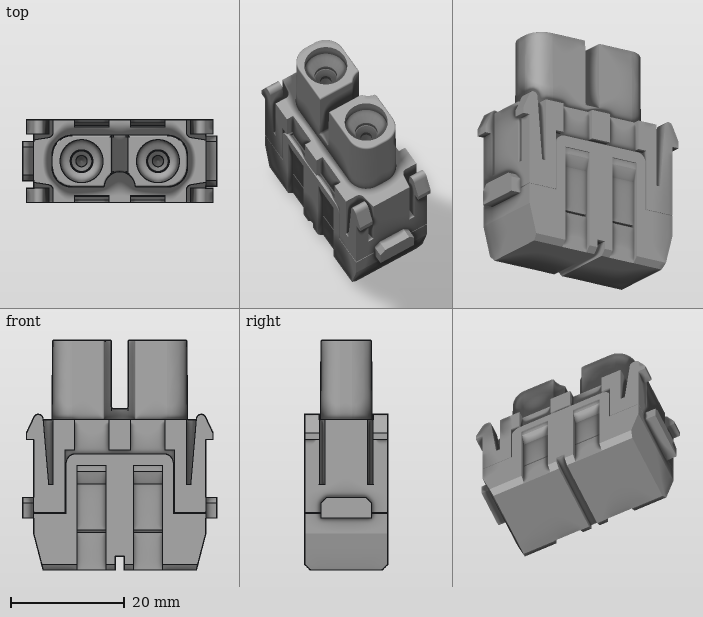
import cadquery as cq
import math

BODY_HALF_X = 15.15
BODY_HALF_Y = 14.63 / 2
BODY_TOP = 26.5
FOOT_HALF_X = 13.5
FOOT_TAPER_TOP = 6.4
FOOT_CHAMFER = 1.0
FOOT_NOTCH_WIDTH = 1.6
FOOT_NOTCH_TOP = 2.45

SEAM_Z = 10.0
SEAM_GAP = 0.15
SEAM_DEPTH = 0.1

PANEL_HALF_X = 9.45
PANEL_TOP = 20.5
PANEL_CORNER = 1.7
PANEL_LIP = 0.45
RECESS_DEPTH = 1.3
LANDING_DEPTH = 0.25
RECESS_HALF_X = PANEL_HALF_X + SEAM_GAP
RECESS_STEP_Z = 21.15
RECESS_TOP_HALF_X = 7.95
TAB_HALF_X = 1.9

WINDOW_WIDTH = 5.1
WINDOW_SPACING = 10.0
WINDOW_X = WINDOW_SPACING / 2
WINDOW_TOP = 18.48
WINDOW_DEPTH = 1.05
HOOK_DEPTH = 0.25
HOOK_FLAT_BOTTOM = 17.35
HOOK_SLOPE_BOTTOM = 15.2
GROOVE_TOP = 7.05
GROOVE_BOTTOM = 6.6
GROOVE_DEPTH = 0.8

SLIT_BOTTOM = 15.07
SLIT_X = 11.7
SLIT_Y = 3.73
SLIT_BEND = (12.6, 4.15)
SLIT_BEND_END_Y = 4.95
CLIP_INNER_Y = 4.75
CLIP_ROOT_X = 12.5
CLIP_FOOT_X = 12.6
CLIP_FOOT_TOP = 16.13
CLIP_HOOK_X = 16.45
CLIP_HOOK_BOTTOM = 23.0
CLIP_HOOK_TOP = 24.15
CLIP_TIP_X = 14.35
CLIP_TIP_RADIUS = 0.85
CLIP_SLOPE_ANGLE = 25
CLIP_TOP = 27.47

PIN_END_X = 17.1
PIN_BOTTOM = 9.15
PIN_TOP = 12.85
PIN_CHAMFER = 1.0
LEFT_PIN_HALF_Y = 3.5
RIGHT_PIN_HALF_Y = 4.45

TOWER_TOP = 40.5
TOWER_HALF_X = 11.95
TOWER_HALF_Y = 4.58
TOWER_CORNER = 3.55
TOWER_DRAFT = 0.5
TOWER_RIM = 0.3
SLOT_WIDTH = 2.9
SLOT_FLOOR = 28.45
SLOT_FLOOR_FILLET = 0.35
KEY_RADIUS = 2.7
KEY_MOUTH_FILLET = 0.32

BORE_X = 6.73
BORE_DIAMETER = 7.58
BORE_DEPTH = 2.3
FUNNEL_DEPTH = 1.45
THROAT_DIAMETER = 4.0
THROAT_DEPTH = 0.8
CONTACT_MOUTH_DIAMETER = 3.65
CONTACT_HOLE_DIAMETER = 2.0
CONTACT_HOLE_DEPTH = 0.8


def box(x0, x1, y0, y1, z0, z1):
    """Box between two opposite corners."""
    return cq.Workplane("XY").box(x1 - x0, y1 - y0, z1 - z0, centered=False).translate((x0, y0, z0))


def both_faces(front):
    """A solid on the -Y face together with its half-turn copy on the +Y face."""
    return front.union(front.rotate((0, 0, 0), (0, 0, 1), 180))


def four_corners(corner):
    """A solid at the +X +Y corner together with its mirror images."""
    pair = corner.union(corner.mirror("YZ"))
    return pair.union(pair.mirror("XZ"))


def make_body():
    outline = [
        (-FOOT_HALF_X, 0),
        (FOOT_HALF_X, 0),
        (BODY_HALF_X, FOOT_TAPER_TOP),
        (BODY_HALF_X, BODY_TOP),
        (-BODY_HALF_X, BODY_TOP),
        (-BODY_HALF_X, FOOT_TAPER_TOP),
    ]
    body = cq.Workplane("XZ").polyline(outline).close().extrude(BODY_HALF_Y, both=True)
    body = body.faces("<Z").edges("|X").chamfer(FOOT_CHAMFER)
    half = FOOT_NOTCH_WIDTH / 2
    return body.cut(box(-half, half, -BODY_HALF_Y, BODY_HALF_Y, 0, FOOT_NOTCH_TOP))


def make_seam():
    """Shallow groove around both narrow ends, ending at the sides of the panel."""
    top = SEAM_Z + SEAM_GAP
    inner_x = BODY_HALF_X - SEAM_DEPTH
    inner_y = BODY_HALF_Y - SEAM_DEPTH
    end = box(PANEL_HALF_X, BODY_HALF_X, -BODY_HALF_Y, BODY_HALF_Y, SEAM_Z, top)
    end = end.cut(box(PANEL_HALF_X, inner_x, -inner_y, inner_y, SEAM_Z, top))
    return end.union(end.mirror("YZ"))


def make_front_recess():
    """Space around and above the panel on the -Y face."""
    face_y = -BODY_HALF_Y
    back_y = face_y + RECESS_DEPTH
    recess = box(-RECESS_HALF_X, RECESS_HALF_X, face_y, back_y, SEAM_Z, RECESS_STEP_Z)
    recess = recess.union(
        box(-RECESS_TOP_HALF_X, RECESS_TOP_HALF_X, face_y, back_y, RECESS_STEP_Z, BODY_TOP)
    )
    recess = recess.cut(box(-TAB_HALF_X, TAB_HALF_X, face_y, back_y, RECESS_STEP_Z, BODY_TOP))

    panel = box(-PANEL_HALF_X, PANEL_HALF_X, face_y, back_y, SEAM_Z, PANEL_TOP)
    panel = panel.edges("|Y and >Z").fillet(PANEL_CORNER)
    landing_y = back_y - LANDING_DEPTH
    landing_z = PANEL_TOP - (RECESS_DEPTH - PANEL_LIP - LANDING_DEPTH)
    lead_in = (
        cq.Workplane("YZ")
        .polyline([
            (face_y + PANEL_LIP, PANEL_TOP),
            (back_y, PANEL_TOP),
            (back_y, landing_z),
            (landing_y, landing_z),
        ])
        .close()
        .extrude(RECESS_TOP_HALF_X, both=True)
    )
    return recess.cut(panel.cut(lead_in))


def make_front_windows():
    """Window pockets on the -Y face, each leaving a sloped latch hook at its top."""
    face_y = -BODY_HALF_Y
    back_y = face_y + WINDOW_DEPTH
    hook_y = face_y + HOOK_DEPTH
    groove_y = back_y + GROOVE_DEPTH
    profile = [
        (face_y, 0),
        (back_y, 0),
        (back_y, GROOVE_BOTTOM),
        (groove_y, GROOVE_BOTTOM),
        (groove_y, GROOVE_TOP),
        (back_y, GROOVE_TOP),
        (back_y, HOOK_SLOPE_BOTTOM),
        (hook_y, HOOK_FLAT_BOTTOM),
        (hook_y, WINDOW_TOP),
        (face_y, WINDOW_TOP),
    ]
    window = cq.Workplane("YZ").polyline(profile).close().extrude(WINDOW_WIDTH / 2, both=True)
    return window.translate((-WINDOW_X, 0, 0)).union(window.translate((WINDOW_X, 0, 0)))


def make_corner_slit():
    """Corner pocket that frees a clip from the body."""
    bend_x, bend_y = SLIT_BEND
    return (
        cq.Workplane("XY", origin=(0, 0, SLIT_BOTTOM))
        .moveTo(BODY_HALF_X, BODY_HALF_Y)
        .lineTo(BODY_HALF_X, SLIT_Y)
        .lineTo(bend_x, bend_y)
        .tangentArcPoint((SLIT_X, SLIT_BEND_END_Y), relative=False)
        .lineTo(SLIT_X, BODY_HALF_Y)
        .close()
        .extrude(BODY_TOP - SLIT_BOTTOM)
    )


def make_corner_clip():
    """Snap clip with a rounded tip and an outward hook."""
    tip_z = CLIP_TOP - CLIP_TIP_RADIUS
    slope_angle = math.radians(CLIP_SLOPE_ANGLE)
    slope_end = (
        CLIP_TIP_X + CLIP_TIP_RADIUS * math.cos(slope_angle),
        tip_z + CLIP_TIP_RADIUS * math.sin(slope_angle),
    )
    return (
        cq.Workplane("XZ", origin=(0, BODY_HALF_Y, 0))
        .moveTo(CLIP_ROOT_X, SLIT_BOTTOM)
        .lineTo(BODY_HALF_X, SLIT_BOTTOM)
        .lineTo(BODY_HALF_X, CLIP_HOOK_BOTTOM)
        .lineTo(CLIP_HOOK_X, CLIP_HOOK_BOTTOM)
        .lineTo(CLIP_HOOK_X, CLIP_HOOK_TOP)
        .lineTo(*slope_end)
        .threePointArc((CLIP_TIP_X, CLIP_TOP), (CLIP_TIP_X - CLIP_TIP_RADIUS, tip_z))
        .lineTo(CLIP_FOOT_X, CLIP_FOOT_TOP)
        .close()
        .extrude(BODY_HALF_Y - CLIP_INNER_Y)
    )


def make_pin(side, half_y):
    """Guide pin with chamfered upper edges on the -X (-1) or +X (+1) end."""
    inner_x, outer_x = sorted((side * BODY_HALF_X, side * PIN_END_X))
    pin = box(inner_x, outer_x, -half_y, half_y, PIN_BOTTOM, PIN_TOP)
    return pin.edges("|X and >Z").chamfer(PIN_CHAMFER)


def make_tower():
    tower = (
        cq.Workplane("XY", origin=(0, 0, BODY_TOP))
        .sketch()
        .rect(2 * TOWER_HALF_X, 2 * TOWER_HALF_Y)
        .vertices()
        .fillet(TOWER_CORNER)
        .finalize()
        .extrude(TOWER_TOP - BODY_TOP, taper=TOWER_DRAFT)
    )
    key = (
        cq.Workplane("XY", origin=(0, -TOWER_HALF_Y, BODY_TOP))
        .circle(KEY_RADIUS)
        .extrude(TOWER_TOP - BODY_TOP)
    )
    half = SLOT_WIDTH / 2
    slot = box(-half, half, -TOWER_HALF_Y, TOWER_HALF_Y, SLOT_FLOOR, TOWER_TOP)
    slot = slot.edges("|Y and <Z").fillet(SLOT_FLOOR_FILLET)
    tower = tower.cut(key)
    margin = 0.4
    mouth = cq.selectors.BoxSelector(
        (-KEY_RADIUS - margin, -TOWER_HALF_Y - margin, BODY_TOP + margin),
        (KEY_RADIUS + margin, -TOWER_HALF_Y + margin, TOWER_TOP - margin),
    )
    tower = tower.edges(mouth).fillet(KEY_MOUTH_FILLET)
    tower = tower.cut(slot).faces(">Z").edges().fillet(TOWER_RIM)
    return tower.cut(make_slot_floor_rounding())


def make_slot_floor_rounding():
    """Waste that rounds both ends of the slot floor: along the key and along the back wall."""
    low_z = SLOT_FLOOR - TOWER_RIM
    mid_offset = TOWER_RIM * (1 - math.sqrt(0.5))
    key_waste = (
        cq.Workplane("XZ")
        .moveTo(KEY_RADIUS, low_z)
        .threePointArc(
            (KEY_RADIUS + mid_offset, SLOT_FLOOR - mid_offset),
            (KEY_RADIUS + TOWER_RIM, SLOT_FLOOR),
        )
        .lineTo(KEY_RADIUS, SLOT_FLOOR)
        .close()
        .revolve(360, (0, 0, 0), (0, 1, 0))
        .translate((0, -TOWER_HALF_Y, 0))
    )
    draft_shift = (SLOT_FLOOR - BODY_TOP) * math.tan(math.radians(TOWER_DRAFT))
    wall_y = TOWER_HALF_Y - draft_shift
    back_waste = (
        cq.Workplane("YZ")
        .moveTo(wall_y - TOWER_RIM, SLOT_FLOOR)
        .threePointArc((wall_y - mid_offset, SLOT_FLOOR - mid_offset), (wall_y, low_z))
        .lineTo(TOWER_HALF_Y, low_z)
        .lineTo(TOWER_HALF_Y, SLOT_FLOOR)
        .close()
        .extrude(SLOT_WIDTH / 2, both=True)
    )
    half = SLOT_WIDTH / 2
    slot_span = box(-half, half, -TOWER_HALF_Y, TOWER_HALF_Y, low_z, SLOT_FLOOR)
    return back_waste.union(key_waste.intersect(slot_span))


def make_bore():
    """Stepped funnel bore, revolved about Z and ending in a conical tip."""
    bore_r = BORE_DIAMETER / 2
    throat_r = THROAT_DIAMETER / 2
    mouth_r = CONTACT_MOUTH_DIAMETER / 2
    hole_r = CONTACT_HOLE_DIAMETER / 2
    funnel_top = TOWER_TOP - BORE_DEPTH
    throat_top = funnel_top - FUNNEL_DEPTH
    throat_floor = throat_top - THROAT_DEPTH
    hole_top = throat_floor - (mouth_r - hole_r)
    hole_floor = hole_top - CONTACT_HOLE_DEPTH
    profile = [
        (0, TOWER_TOP),
        (bore_r, TOWER_TOP),
        (bore_r, funnel_top),
        (throat_r, throat_top),
        (throat_r, throat_floor),
        (mouth_r, throat_floor),
        (hole_r, hole_top),
        (hole_r, hole_floor),
        (0, hole_floor - hole_r),
    ]
    return cq.Workplane("XZ").polyline(profile).close().revolve(360, (0, 0, 0), (0, 1, 0))


result = make_body().cut(make_seam())
result = result.cut(both_faces(make_front_recess()))
result = result.cut(both_faces(make_front_windows()))
result = result.cut(four_corners(make_corner_slit()))
result = result.union(four_corners(make_corner_clip()))
result = result.union(make_pin(-1, LEFT_PIN_HALF_Y)).union(make_pin(1, RIGHT_PIN_HALF_Y))
result = result.union(make_tower())
for bore_x in (-BORE_X, BORE_X):
    result = result.cut(make_bore().translate((bore_x, 0, 0)))